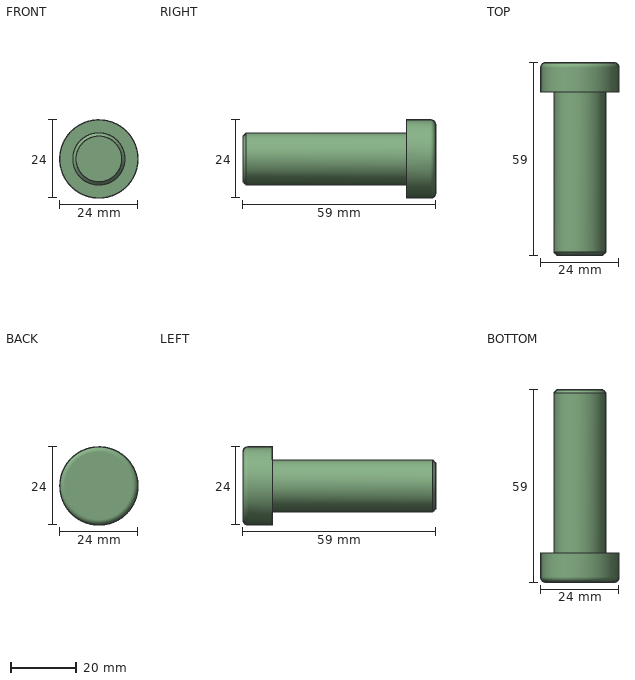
import cadquery as cq

total_length = 59.0
head_length = 9.0
head_diameter = 24.0
shank_diameter = 16.0
head_fillet = 1.6
tip_chamfer = 1.0

shank_length = total_length - head_length

shank = (
    cq.Workplane("XZ")
    .circle(shank_diameter / 2)
    .extrude(-shank_length)
    .faces("<Y")
    .chamfer(tip_chamfer)
)

head = (
    cq.Workplane("XZ", origin=(0, shank_length, 0))
    .circle(head_diameter / 2)
    .extrude(-head_length)
    .faces(">Y")
    .fillet(head_fillet)
)

result = shank.union(head)